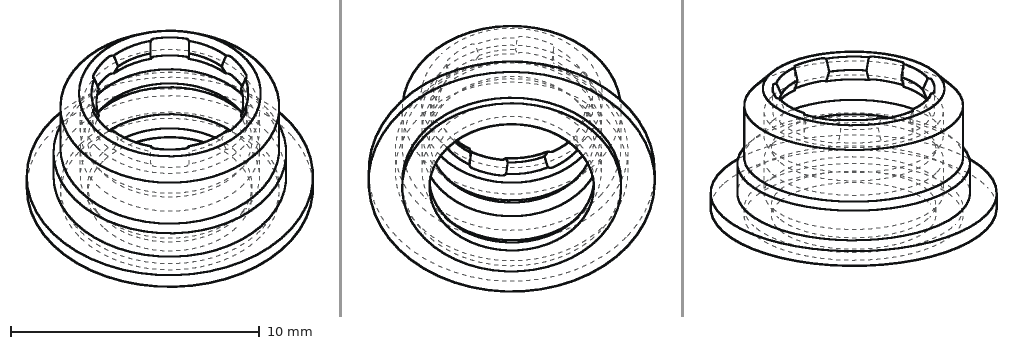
import cadquery as cq
import math

total_height = 5.6
flange_bottom = 0.35
flange_top = 1.0
collar_top = 2.3

flange_radius = 11.5 / 2
collar_radius = 9.35 / 2
body_radius = 8.8 / 2
nose_chamfer = 0.75
collar_chamfer = collar_radius - body_radius

groove_radius = 7.2 / 2
ridge_radius = 3.3
mouth_radius = 3.15
tab_radius = 2.95

tab_tip_depth = 0.5
tab_base_depth = 2 * tab_tip_depth
flank_length = 0.5
upper_groove_end = 2.1
ridge_depth = upper_groove_end + flank_length
lower_groove_start = ridge_depth + flank_length
lower_groove_end = 4.6

slot_count = 6
slot_width = 1.55
slot_end_radius = 3.25
slot_corner_radius = 0.2
first_slot_angle = 30
slot_depth = (tab_base_depth + upper_groove_end) / 2


def make_ring():
    """Flanged, stepped bush with a tapered nose and a grooved through bore."""
    outer_outline = [
        (body_radius, 0),
        (body_radius, flange_bottom),
        (flange_radius, flange_bottom),
        (flange_radius, flange_top),
        (collar_radius, flange_top),
        (collar_radius, collar_top),
        (body_radius, collar_top + collar_chamfer),
        (body_radius, total_height - nose_chamfer),
        (body_radius - nose_chamfer, total_height),
    ]
    bore_radius_and_depth = [
        (mouth_radius, 0),
        (tab_radius, tab_tip_depth),
        (mouth_radius, tab_base_depth),
        (groove_radius, tab_base_depth),
        (groove_radius, upper_groove_end),
        (ridge_radius, ridge_depth),
        (groove_radius, lower_groove_start),
        (groove_radius, lower_groove_end),
        (ridge_radius, lower_groove_end + flank_length),
        (ridge_radius, total_height),
    ]
    bore_outline = [(radius, total_height - depth) for radius, depth in bore_radius_and_depth]
    outline = cq.Workplane("XZ").polyline(outer_outline + bore_outline).close()
    return outline.revolve(360, (0, 0), (0, 1))


def make_slot(angle):
    """Straight-sided radial slot with an arched, round-cornered outer end."""
    half_width = slot_width / 2
    corner_x = math.sqrt(slot_end_radius**2 - half_width**2)
    slot = (
        cq.Workplane("XY")
        .workplane(offset=total_height - slot_depth)
        .moveTo(0, -half_width)
        .lineTo(corner_x, -half_width)
        .threePointArc((slot_end_radius, 0), (corner_x, half_width))
        .lineTo(0, half_width)
        .close()
        .extrude(slot_depth)
        .edges("|Z")
        .edges(">X")
        .fillet(slot_corner_radius)
    )
    return slot.rotate((0, 0, 0), (0, 0, 1), angle)


result = make_ring()
for index in range(slot_count):
    result = result.cut(make_slot(first_slot_angle + index * 360 / slot_count))